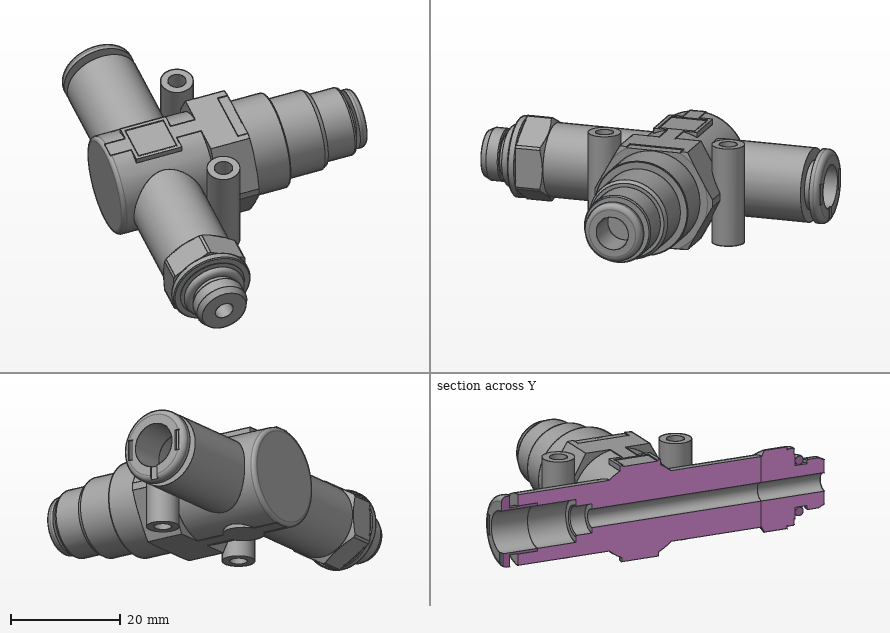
import cadquery as cq
import math


body_dia = 18.7
body_radius = body_dia / 2
body_front = -9.1
body_fillet = 0.8
block_start = 9.3
block_end = 17.1
block_flat_width = 13.1
block_width = 22.8
block_edge_height = 1.4
block_chamfer_dia = 20.9
block_chamfer_length = 0.2
mark_width = 10.45
mark_length = 2.0
mark_depth = 0.2

branch_steps = [
    (18.0, 24.1, 0.1, 0.2),
    (15.15, 32.1, 0.45, 0.8),
    (12.85, 38.0, 0.2, 0.4),
]
branch_end = branch_steps[-1][1]

tube_dia = 13.8
tube_start = -25.0
tube_end = 24.8
through_dia = 3.5
socket_dia = 8.2
socket_end = -13.25
stop_dia = 5.55
stop_mouth_dia = 6.0
stop_mouth_depth = (stop_mouth_dia - stop_dia) / 2
stop_end = -9.9

lug_dia = 6.0
lug_hole_dia = 3.3
lug_offset = 12.0
lug_y = 9.65
pad_width = 8.4
pad_length = 8.95
pad_rim = 0.7
pad_recess_depth = 0.2
strip_width = 3.1
strip_front = -8.55
boss_dia = 7.6

collar_fillet = 1.05
collar_insertion = 4.0
run_collar_end = -28.45
run_collar_head_length = 1.8
run_collar_neck_dia = 9.2
face_cut_depth = 0.3
notch_inner = 4.8
notch_outer = 5.6
notch_height = 3.85
slit_width = 1.4
pilot_collar_end = 40.65
pilot_collar_head_dia = 11.1
pilot_collar_head_length = 1.65
pilot_collar_neck_dia = 7.2
pilot_bore_dia = 6.2

nut_flats = 14.05
nut_corner_dia = 15.9
nut_chamfer_length = 0.6
nut_end = 30.1
flange_dia = 15.0
flange_end = 31.6
flange_chamfer = 0.2
seat_dia = 12.5
seal_section_dia = 1.7
seal_center = 32.6
seat_end = seal_center - seal_section_dia / 2
groove_dia = 8.2
thread_dia = 9.8
thread_start = 34.15
thread_back_chamfer = 0.2
thread_tip_dia = 8.6
thread_tip_start = 36.55
stud_end = 37.75


def cylinder_along_x(diameter, start, end):
    return cq.Workplane("YZ").workplane(offset=start).circle(diameter / 2).extrude(end - start)


def cylinder_along_y(diameter, start, end):
    return cq.Workplane("XZ").workplane(offset=-start).circle(diameter / 2).extrude(start - end)


def cylinder_along_z(diameter, x, y, start, end):
    return cq.Workplane("XY").workplane(offset=start).center(x, y).circle(diameter / 2).extrude(end - start)


def box_between(x_range, y_range, z_range):
    size = [high - low for low, high in (x_range, y_range, z_range)]
    corner = (x_range[0], y_range[0], z_range[0])
    return cq.Workplane("XY").box(*size, centered=False).translate(corner)


def turned_along_x(profile):
    """Revolve a closed outline of (x, radius) points about the X axis."""
    return cq.Workplane("XY").polyline(profile).close().revolve(360, (0, 0, 0), (1, 0, 0))


def turned_along_y(profile):
    """Revolve a closed outline of (radius, y) points about the Y axis."""
    return cq.Workplane("XY").polyline(profile).close().revolve(360, (0, 0, 0), (0, 1, 0))


def hexagonal_block():
    """Block with flat top and bottom, sloped sides and narrow upright edges."""
    half_flat = block_flat_width / 2
    half_width = block_width / 2
    half_edge = block_edge_height / 2
    outline = [
        (half_flat, body_radius),
        (half_width, half_edge),
        (half_width, -half_edge),
        (half_flat, -body_radius),
        (-half_flat, -body_radius),
        (-half_width, -half_edge),
        (-half_width, half_edge),
        (-half_flat, body_radius),
    ]
    block_length = block_end - block_start
    block = cq.Workplane("XZ").workplane(offset=-block_start).polyline(outline).close().extrude(-block_length)

    corner_radius = math.hypot(half_width, half_edge)
    corner_trim = turned_along_y([
        (0, block_start),
        (corner_radius, block_start),
        (corner_radius, block_end - block_chamfer_length),
        (block_chamfer_dia / 2, block_end),
        (0, block_end),
    ])
    mark = box_between(
        (-mark_width / 2, mark_width / 2),
        (block_end - mark_length, block_end),
        (body_radius - mark_depth, body_radius),
    )
    return block.intersect(corner_trim).cut(mark)


def stepped_branch():
    profile = [(0, block_end)]
    start = block_end
    for diameter, end, chamfer, chamfer_length in branch_steps:
        radius = diameter / 2
        profile += [(radius, start), (radius, end - chamfer_length), (radius - chamfer, end)]
        start = end
    profile.append((0, branch_end))
    return turned_along_y(profile)


def top_pad():
    """Square pad on top of the round body, and the shallow recess inside its rim."""
    half_width = pad_width / 2
    half_length = pad_length / 2
    pad = box_between((-half_width, half_width), (-half_length, half_length), (0, body_radius))
    recess = box_between(
        (pad_rim - half_width, half_width - pad_rim),
        (pad_rim - half_length, half_length - pad_rim),
        (body_radius - pad_recess_depth, body_radius),
    )
    return pad, recess


def flat_strips():
    """Narrow flats along the top and the bottom of the round body."""
    return box_between(
        (-strip_width / 2, strip_width / 2),
        (strip_front, block_start),
        (-body_radius, body_radius),
    )


def run_bores():
    """Tube socket, chamfered tube stop and through hole along the run."""
    socket = cylinder_along_x(socket_dia, tube_start, socket_end)
    stop = turned_along_x([
        (socket_end, 0),
        (socket_end, stop_mouth_dia / 2),
        (socket_end + stop_mouth_depth, stop_dia / 2),
        (stop_end, stop_dia / 2),
        (stop_end, 0),
    ])
    through = cylinder_along_x(through_dia, tube_start, tube_end)
    return socket.union(stop).union(through)


def collar_recesses():
    """Recesses that hold the necks of the two release collars."""
    run_recess = cylinder_along_x(run_collar_neck_dia, tube_start, tube_start + collar_insertion)
    pilot_recess = cylinder_along_y(pilot_collar_neck_dia, branch_end - collar_insertion, branch_end)
    return run_recess.union(pilot_recess)


def make_housing():
    round_body = cylinder_along_y(body_dia, body_front, block_start).faces("<Y").edges().fillet(body_fillet)
    pad, pad_recess = top_pad()
    housing = (
        round_body
        .union(cylinder_along_x(tube_dia, tube_start, tube_end))
        .union(hexagonal_block())
        .union(stepped_branch())
        .union(pad)
        .union(flat_strips())
        .union(cylinder_along_z(boss_dia, 0, 0, -body_radius, 0))
        .cut(pad_recess)
    )
    for x in (-lug_offset, lug_offset):
        housing = housing.union(cylinder_along_z(lug_dia, x, lug_y, -body_radius, body_radius))
    for x in (-lug_offset, lug_offset):
        housing = housing.cut(cylinder_along_z(lug_hole_dia, x, lug_y, -body_radius, body_radius))
    return housing.cut(run_bores()).cut(collar_recesses())


def collar(head_dia, head_length, neck_dia, bore_dia, length):
    """Flanged sleeve along +Z with a rounded head; the part of its neck below Z = 0 enters the housing."""
    neck = cylinder_along_z(neck_dia, 0, 0, -collar_insertion, length)
    head = cylinder_along_z(head_dia, 0, 0, length - head_length, length)
    head = head.faces(">Z").edges().fillet(collar_fillet)
    return neck.union(head).cut(cylinder_along_z(bore_dia, 0, 0, -collar_insertion, length))


def make_run_collar():
    """Release collar of the tube port, with two notches and one slit sunk in its face."""
    sleeve = collar(
        tube_dia, run_collar_head_length, run_collar_neck_dia, socket_dia, tube_start - run_collar_end
    )
    sleeve = sleeve.rotate((0, 0, 0), (0, 1, 0), -90).translate((tube_start, 0, 0))
    cut_depth = (run_collar_end, run_collar_end + face_cut_depth)
    notch_z = (-notch_height / 2, notch_height / 2)
    for notch_y in ((notch_inner, notch_outer), (-notch_outer, -notch_inner)):
        sleeve = sleeve.cut(box_between(cut_depth, notch_y, notch_z))
    slit = box_between(cut_depth, (-slit_width / 2, slit_width / 2), (-tube_dia / 2, 0))
    return sleeve.cut(slit)


def make_pilot_collar():
    """Release collar of the pilot port."""
    sleeve = collar(
        pilot_collar_head_dia,
        pilot_collar_head_length,
        pilot_collar_neck_dia,
        pilot_bore_dia,
        pilot_collar_end - branch_end,
    )
    return sleeve.rotate((0, 0, 0), (1, 0, 0), -90).translate((0, branch_end, 0))


def stud_nut():
    """Hexagon with flats facing +Y and -Y, rounded corners and a chamfered inner end."""
    nut_length = nut_end - tube_end
    corners = nut_flats / math.cos(math.pi / 6)
    hexagon = cq.Workplane("YZ").workplane(offset=tube_end).polygon(6, corners).extrude(nut_length)
    hexagon = hexagon.rotate((0, 0, 0), (1, 0, 0), 90)
    corner_trim = turned_along_x([
        (tube_end, 0),
        (tube_end, tube_dia / 2),
        (tube_end + nut_chamfer_length, nut_corner_dia / 2),
        (nut_end, nut_corner_dia / 2),
        (nut_end, 0),
    ])
    return hexagon.intersect(corner_trim)


def make_stud():
    """Hexagonal stud with a flange, a seal groove and a thread modelled as a plain cylinder."""
    flange_radius = flange_dia / 2
    thread_radius = thread_dia / 2
    shank = turned_along_x([
        (nut_end, 0),
        (nut_end, flange_radius - flange_chamfer),
        (nut_end + flange_chamfer, flange_radius),
        (flange_end - flange_chamfer, flange_radius),
        (flange_end, flange_radius - flange_chamfer),
        (flange_end, seat_dia / 2),
        (seat_end, seat_dia / 2),
        (seat_end, groove_dia / 2),
        (thread_start, groove_dia / 2),
        (thread_start, thread_radius - thread_back_chamfer),
        (thread_start + thread_back_chamfer, thread_radius),
        (thread_tip_start, thread_radius),
        (stud_end, thread_tip_dia / 2),
        (stud_end, 0),
    ])
    return stud_nut().union(shank).cut(cylinder_along_x(through_dia, tube_end, stud_end))


def make_seal_ring():
    """Round-section ring that sits in the stud groove against its seat."""
    ring_radius = (groove_dia + seal_section_dia) / 2
    section = cq.Workplane("XY").center(seal_center, ring_radius).circle(seal_section_dia / 2)
    return section.revolve(360, (0, -ring_radius, 0), (1, -ring_radius, 0))


housing = make_housing()
run_collar = make_run_collar()
pilot_collar = make_pilot_collar()
stud = make_stud()
seal_ring = make_seal_ring()

result = cq.Compound.makeCompound([
    housing.val(),
    run_collar.val(),
    pilot_collar.val(),
    stud.val(),
    seal_ring.val(),
])